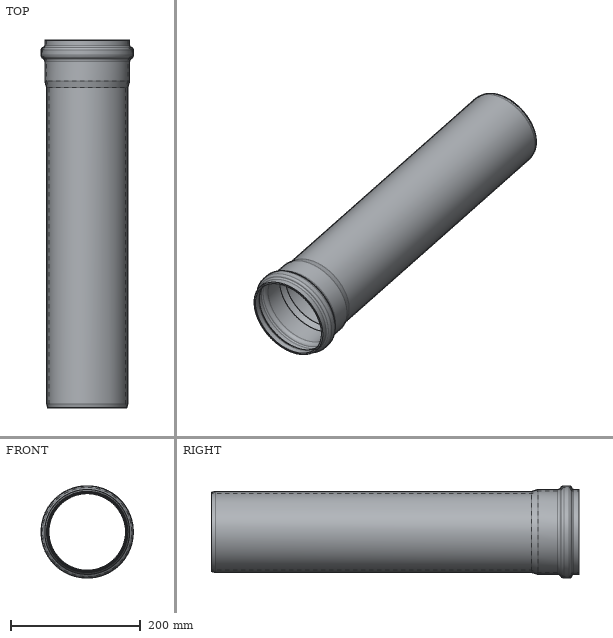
import cadquery as cq
import math

total_length = 567.0

pipe_outer_diameter = 125.15
pipe_bore_diameter = 118.15
spigot_chamfer_length = 6.0
spigot_chamfer_angle = 15.0

socket_outer_diameter = 131.05
socket_bore_diameter = 125.65
bead_outer_diameter = 142.45
bead_groove_diameter = 137.65

bead_front_start = 8.3
bead_front_bend = 11.3
bead_crest_start = 15.5
bead_crest_end = 23.3
bead_back_bend = 28.1
bead_back_end = 33.0
taper_start = 63.3
taper_end = 73.5

pipe_outer_radius = pipe_outer_diameter / 2
pipe_bore_radius = pipe_bore_diameter / 2
socket_outer_radius = socket_outer_diameter / 2
socket_bore_radius = socket_bore_diameter / 2
bead_outer_radius = bead_outer_diameter / 2
bead_groove_radius = bead_groove_diameter / 2
bead_wall = bead_outer_radius - bead_groove_radius
spigot_chamfer_depth = spigot_chamfer_length * math.tan(math.radians(spigot_chamfer_angle))


def bend_shift(base_length):
    """Axial offset of the wall's inner bend that keeps the sloping flank as thick as the bead wall."""
    flank_angle = 2 * math.atan((bead_outer_radius - socket_outer_radius) / base_length)
    return bead_wall * math.sin(flank_angle)


def from_mouth(radius, distance):
    return (radius, total_length - distance)


def s_curve(profile, start, bend_y, end):
    """Two tangent arcs between axial lines; they join on the chord from start to end."""
    fraction = (bend_y - start[1]) / (end[1] - start[1])
    bend = (start[0] + fraction * (end[0] - start[0]), bend_y)
    profile = profile.tangentArcPoint(bend, relative=False)
    return profile.tangentArcPoint(end, relative=False)


def revolved_surface(profile):
    """Closes a half profile to the axis at the socket mouth and turns it into a solid."""
    return profile.lineTo(0, total_length).close().revolve(360, (0, 0, 0), (0, 1, 0))


def socket_profile(profile, pipe_radius, socket_radius, bead_radius, front_bend, back_bend):
    """Continues a half profile along the pipe, the taper, the socket and the bead up to the mouth."""
    profile = profile.lineTo(*from_mouth(pipe_radius, taper_end))
    profile = profile.lineTo(*from_mouth(socket_radius, taper_start))
    back_foot = from_mouth(socket_radius, bead_back_end)
    back_crest = from_mouth(bead_radius, bead_crest_end)
    front_crest = from_mouth(bead_radius, bead_crest_start)
    front_foot = from_mouth(socket_radius, bead_front_start)
    profile = profile.lineTo(*back_foot)
    profile = s_curve(profile, back_foot, total_length - back_bend, back_crest)
    profile = profile.lineTo(*front_crest)
    profile = s_curve(profile, front_crest, total_length - front_bend, front_foot)
    return profile.lineTo(socket_radius, total_length)


def make_body():
    """Solid outer shape, with the chamfered spigot end."""
    profile = (
        cq.Workplane("XY")
        .lineTo(pipe_outer_radius - spigot_chamfer_depth, 0)
        .lineTo(pipe_outer_radius, spigot_chamfer_length)
    )
    profile = socket_profile(
        profile,
        pipe_outer_radius,
        socket_outer_radius,
        bead_outer_radius,
        bead_front_bend,
        bead_back_bend,
    )
    return revolved_surface(profile)


def make_cavity():
    """Through bore, socket bore and seal groove."""
    profile = cq.Workplane("XY").lineTo(pipe_bore_radius, 0)
    profile = socket_profile(
        profile,
        pipe_bore_radius,
        socket_bore_radius,
        bead_groove_radius,
        bead_front_bend + bend_shift(bead_crest_start - bead_front_start),
        bead_back_bend - bend_shift(bead_back_end - bead_crest_end),
    )
    return revolved_surface(profile)


result = make_body().cut(make_cavity())